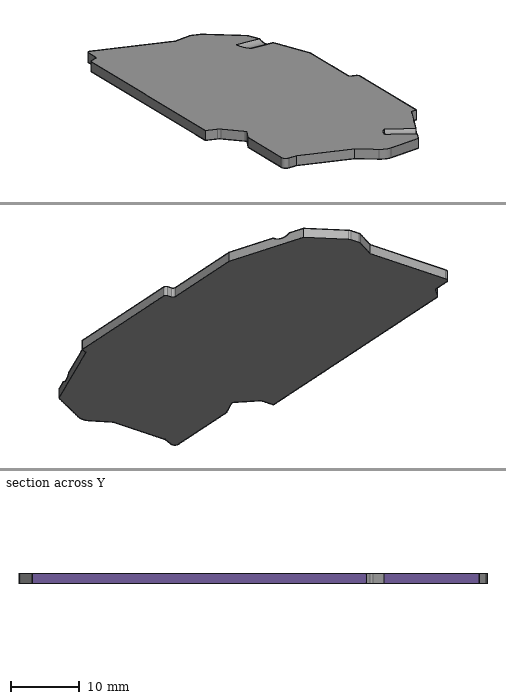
import cadquery as cq
import math

LENGTH = 68.0
WIDTH = 32.6
THICKNESS = 1.5
HALF_LENGTH = LENGTH / 2

SIDE_X = 32.1
EAR_BASE_Y = 15.8
EAR_TIP_Y = 19.85
EAR_RADIUS = 2.05
EAR_FLAT = 1.8
SHOULDER_X = 30.6
SHOULDER_Y = 26.6

SLOPE_ANGLE = 20.0
LEDGE_Y = 31.1
TAB_LEFT_X = -4.4
TAB_RIGHT_X = 16.4
TAB_FOOT_X = 16.8

STEP_Y = 1.6
STEP_OUTER_X = -28.55
STEP_INNER_X = -26.9
TAIL_X = 14.2
TAIL_TOP_Y = 2.2
NOTCH_X = 17.15
NOTCH_TOP_Y = 5.3
FOOT_Y = 4.15
FOOT_START_X = 20.1
TOE_X = 32.8
TOE_Y = 5.0
TOE_TOP_Y = 6.5
TOE_INNER_X = 31.95

SMALL_RADIUS = 0.4
LARGE_RADIUS = 0.7
CORNER_PICK_SIZE = 0.1

GROOVE_X = 26.9
GROOVE_WIDTH = 2.85
GROOVE_DEPTH = 0.5
GROOVE_LENGTH = 4.6
GROOVE_TIP_ANGLE = 118.0
GROOVE_OVERRUN = 1.35

slope = math.tan(math.radians(SLOPE_ANGLE))


def slope_y(distance_from_centre):
    """Height of the sloping edge at a distance from the Y axis."""
    return SHOULDER_Y + (SHOULDER_X - distance_from_centre) * slope


def ear_tangent_point(x, y, vertical):
    """Tangent point on the rounded right ear of a line coming from (x, y), above (1) or below (-1)."""
    centre_x = HALF_LENGTH - EAR_RADIUS
    dx = x - centre_x
    dy = (y - EAR_TIP_Y) * vertical
    angle = math.atan2(dy, dx) - math.acos(EAR_RADIUS / math.hypot(dx, dy))
    tangent_x = centre_x + EAR_RADIUS * math.cos(angle)
    tangent_y = EAR_TIP_Y + vertical * EAR_RADIUS * math.sin(angle)
    return tangent_x, tangent_y


def round_corner(plate, corner, radius):
    """Round the upright edge of the plate that stands at an outline corner."""
    x, y = corner
    half = CORNER_PICK_SIZE / 2
    pick_box = cq.selectors.BoxSelector(
        (x - half, y - half, 0), (x + half, y + half, THICKNESS)
    )
    return plate.edges("|Z").edges(pick_box).fillet(radius)


def make_plate():
    ear_lower_corner = (-HALF_LENGTH, EAR_TIP_Y - EAR_FLAT / 2)
    ear_upper_corner = (-HALF_LENGTH, EAR_TIP_Y + EAR_FLAT / 2)
    ledge_start_x = SHOULDER_X - (LEDGE_Y - SHOULDER_Y) / slope
    outline = (
        cq.Workplane("XY")
        .moveTo(STEP_INNER_X, 0)
        .lineTo(STEP_OUTER_X, STEP_Y)
        .lineTo(-SIDE_X, STEP_Y)
        .lineTo(-SIDE_X, EAR_BASE_Y)
        .lineTo(*ear_lower_corner)
        .lineTo(*ear_upper_corner)
        .lineTo(-SHOULDER_X, SHOULDER_Y)
        .lineTo(-ledge_start_x, LEDGE_Y)
        .lineTo(TAB_LEFT_X, LEDGE_Y)
        .lineTo(TAB_LEFT_X, WIDTH)
        .lineTo(TAB_RIGHT_X, WIDTH)
        .lineTo(TAB_FOOT_X, slope_y(TAB_FOOT_X))
        .lineTo(SHOULDER_X, SHOULDER_Y)
        .lineTo(*ear_tangent_point(SHOULDER_X, SHOULDER_Y, 1))
        .threePointArc((HALF_LENGTH, EAR_TIP_Y), ear_tangent_point(SIDE_X, EAR_BASE_Y, -1))
        .lineTo(SIDE_X, EAR_BASE_Y)
        .lineTo(SIDE_X, TOE_TOP_Y)
        .lineTo(TOE_X, TOE_Y)
        .tangentArcPoint((TOE_INNER_X, FOOT_Y), relative=False)
        .lineTo(FOOT_START_X, FOOT_Y)
        .lineTo(NOTCH_X, NOTCH_TOP_Y)
        .lineTo(TAIL_X, TAIL_TOP_Y)
        .lineTo(TAIL_X, 0)
        .close()
    )
    plate = outline.extrude(THICKNESS)
    rounded_corners = [
        ((STEP_INNER_X, 0), LARGE_RADIUS),
        ((STEP_OUTER_X, STEP_Y), LARGE_RADIUS),
        ((-SIDE_X, STEP_Y), LARGE_RADIUS),
        (ear_lower_corner, LARGE_RADIUS),
        (ear_upper_corner, LARGE_RADIUS),
        ((TAB_LEFT_X, LEDGE_Y), SMALL_RADIUS),
        ((TAB_LEFT_X, WIDTH), SMALL_RADIUS),
        ((NOTCH_X, NOTCH_TOP_Y), SMALL_RADIUS),
        ((TAIL_X, TAIL_TOP_Y), LARGE_RADIUS),
    ]
    for corner, radius in rounded_corners:
        plate = round_corner(plate, corner, radius)
    return plate


def make_groove_cutter(side):
    """Round cutter with a conical tip; its axis lies above the top face."""
    radius = ((GROOVE_WIDTH / 2) ** 2 + GROOVE_DEPTH**2) / (2 * GROOVE_DEPTH)
    tip_length = radius / math.tan(math.radians(GROOVE_TIP_ANGLE / 2))
    profile = [
        (0, GROOVE_OVERRUN),
        (radius, GROOVE_OVERRUN),
        (radius, -GROOVE_LENGTH),
        (0, -GROOVE_LENGTH - tip_length),
    ]
    cutter = cq.Workplane("XY").polyline(profile).close().revolve(360, (0, 0, 0), (0, 1, 0))
    cutter = cutter.rotate((0, 0, 0), (0, 0, 1), -side * SLOPE_ANGLE)
    axis_z = THICKNESS + radius - GROOVE_DEPTH
    return cutter.translate((side * GROOVE_X, slope_y(GROOVE_X), axis_z))


result = make_plate()
for groove_side in (-1, 1):
    result = result.cut(make_groove_cutter(groove_side))